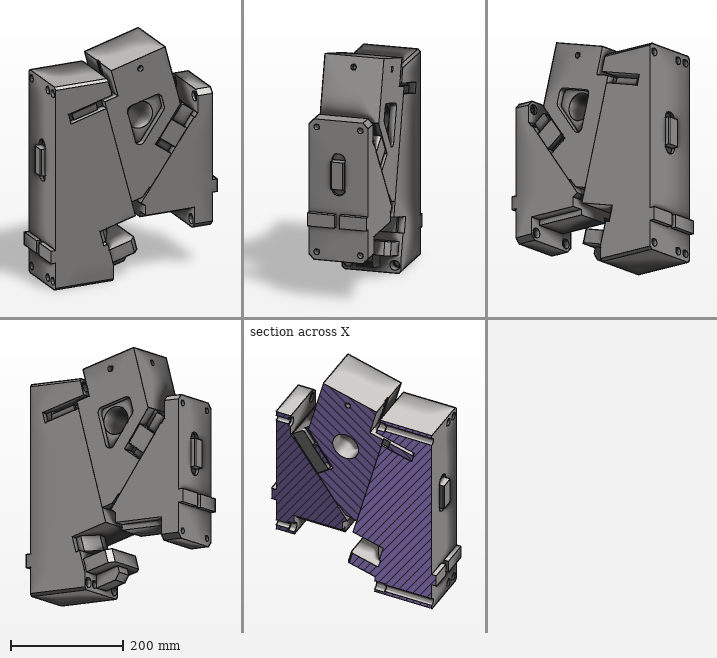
import cadquery as cq
import math

width = 110.0
half_width = width / 2
overall_height = 428.5
front_height = 384.5
rear_face_y = 310.0
rear_bottom_z = 73.5
rear_top_z = 334.5

rail_height = 24.0
rail_depth = 9.0
rail_gap = 10.0
key_width = 25.0
key_height = 50.5
key_chamfer = 2.0
key_slot_length = 78.0
key_slot_depth = 6.5
counterbore_radius = 9.0
screw_edge_distance = 14.5

front_chamfer = 4.5
front_screw_columns = (-43.3, 43.3)
front_extra_hole_x = 23.0
front_screw_hole_radius = 7.0
front_foot_depth = 114.5
front_rail_z = 52.5
front_key_center_z = 229.5
front_counterbore_y = 94.3

slide_angle = math.radians(15)
slide_corner = (157.5, 117.5)
slot_bottom = 220.0
slot_top = 240.0
slot_depth = 72.5
overhang = 16.5
foot_step_depth = 64.3
notch_height = 29.5
spine_front = 42.5
spine_flare = 62.0
spine_base_half = 42.5
spine_tip_half = 8.0

hook_half = 49.0
hook_neck_half = 16.0
hook_top = -45.0
hook_neck_top = -70.3
hook_bottom = -93.5
hook_tip_depth = 8.0
hook_tip_chamfer = 9.5
hook_root_depth = 77.0
hook_neck_corner = (-82.5, 17.5)
hook_neck_corner_end = 29.0

middle_bottom = 28.3
middle_back = -137.0
middle_toe = -22.3
middle_top = (
    (overall_height - slide_corner[1] + middle_back * math.sin(slide_angle)) / math.cos(slide_angle)
)
middle_front = -27.0
tongue_top = 233.5
tongue_neck_half = 39.5
tongue_neck_depth = 13.3
tongue_head_half = 45.5
groove_width = 10.0
groove_depth = 1.5
pin_hole_radius = 5.0
pin_hole_tip = 3.0
pin_hole_depth = 13.0
pin_hole_rise = 265.5
pin_hole_depth_position = -81.5
window_radius = 25.3
window_rise = 175.2
window_depth_position = -61.5
recess_depth = 12.0
recess_top = 204.8
recess_back = -106.2
recess_front = window_depth_position + window_radius
recess_lift = 62.0
recess_fillet = 10.0

ramp_angle = math.radians(35.5)
ramp_corner = (168.5, 139.0)
ramp_length = 190.0
toe_gap_run = 32.5
toe_gap = 2.5
rear_chamfer = 9.5
rear_top_plate_y = 280.5
rear_foot_plate_y = 274.0
rear_nose_y = 178.0
rear_nose_top_z = 132.5
rear_belly_z = 115.0
rear_keel_z = 104.5
keel_half = 32.0
rear_rail_z = 137.5
rear_key_center_z = 234.8
rear_counterbore_y = 285.7
rear_screw_columns = (-40.5, 40.5)
rear_screw_hole_radius = 5.0
ramp_step_run = 181.0
ramp_step = 1.5

rail_channel_start = 104.0
rail_channel_lift = 39.0
rail_shoulder_lift = 27.0
rail_shoulder_radius = 4.0
rail_head_half = 40.5
rail_neck_half = 32.0
clip_start = 117.5
clip_end = 157.2
clip_outer = 54.5
clip_inner = 43.3
clip_lift = 37.5
clip_root = -4.3


def slide_point(rise, depth):
    """(Y, Z) of a point given in the slide frame."""
    sine, cosine = math.sin(slide_angle), math.cos(slide_angle)
    return (
        slide_corner[0] - rise * sine - depth * cosine,
        slide_corner[1] + rise * cosine - depth * sine,
    )


def ramp_point(run, lift):
    """(Y, Z) of a point given in the ramp frame."""
    sine, cosine = math.sin(ramp_angle), math.cos(ramp_angle)
    return (
        ramp_corner[0] + run * sine - lift * cosine,
        ramp_corner[1] + run * cosine + lift * sine,
    )


def on_ramp(depth, lift):
    """(Y, Z) where a line of constant slide depth crosses a line of constant ramp lift."""
    start_y, start_z = slide_point(0, depth)
    y_offset = start_y - ramp_corner[0]
    z_offset = start_z - ramp_corner[1]
    lift_at_start = z_offset * math.sin(ramp_angle) - y_offset * math.cos(ramp_angle)
    rise = (lift - lift_at_start) / math.sin(slide_angle + ramp_angle)
    return slide_point(rise, depth)


def on_slide(depth, run):
    """(Y, Z) where a line of constant slide depth crosses a line of constant ramp run."""
    start_y, start_z = slide_point(0, depth)
    y_offset = start_y - ramp_corner[0]
    z_offset = start_z - ramp_corner[1]
    run_at_start = y_offset * math.sin(ramp_angle) + z_offset * math.cos(ramp_angle)
    rise = (run - run_at_start) / math.cos(slide_angle + ramp_angle)
    return slide_point(rise, depth)


def slab(points, half_thickness):
    """Side outline in (Y, Z), extruded to both sides of X = 0."""
    return cq.Workplane("YZ").polyline(points).close().extrude(half_thickness, both=True)


def slide_prism(points, bottom, top):
    """Outline in (X, depth), extruded along the slide face from bottom to top."""
    normal = (0, -math.sin(slide_angle), math.cos(slide_angle))
    plane = cq.Plane(origin=(0, *slide_point(bottom, 0)), xDir=(1, 0, 0), normal=normal)
    outline = [(x, -depth) for x, depth in points]
    return cq.Workplane(plane).polyline(outline).close().extrude(top - bottom)


def ramp_prism(points, start, end):
    """Outline in (X, lift), extruded along the ramp from start to end."""
    normal = (0, math.sin(ramp_angle), math.cos(ramp_angle))
    plane = cq.Plane(origin=(0, *ramp_point(start, 0)), xDir=(1, 0, 0), normal=normal)
    outline = [(x, -lift) for x, lift in points]
    return cq.Workplane(plane).polyline(outline).close().extrude(end - start)


def box(x_range, y_range, z_range):
    size = [high - low for low, high in (x_range, y_range, z_range)]
    return cq.Workplane("XY").box(*size, centered=False).translate((x_range[0], y_range[0], z_range[0]))


def both_sides(shape):
    """The shape together with its mirror image across X = 0."""
    return shape.union(shape.mirror("YZ"))


def y_cylinder(x, z, radius, y_start, y_end):
    plane = cq.Plane(origin=(x, y_start, z), xDir=(1, 0, 0), normal=(0, 1, 0))
    return cq.Workplane(plane).circle(radius).extrude(y_end - y_start)


def add_mount(block, face_y, outward, rail_z, key_z):
    """Split rail and a key standing in a round-ended recess, on a face looking along outward * Y."""
    outer_y = face_y + outward * rail_depth
    recess_y = face_y - outward * key_slot_depth

    key_range = sorted((recess_y, outer_y))
    recess_plane = cq.Plane(origin=(0, face_y, key_z), xDir=(1, 0, 0), normal=(0, -outward, 0))
    recess = cq.Workplane(recess_plane).slot2D(key_slot_length, key_width, 90).extrude(key_slot_depth)
    key_z_range = (key_z - key_height / 2, key_z + key_height / 2)
    key = box((-key_width / 2, key_width / 2), key_range, key_z_range)
    key = key.faces(">Y" if outward > 0 else "<Y").edges("|Z").chamfer(key_chamfer)

    rail = box((rail_gap / 2, half_width), sorted((face_y, outer_y)), (rail_z, rail_z + rail_height))
    return block.cut(recess).union(key).union(both_sides(rail))


def drill_screws(block, columns, rows, radius, hole_range, counterbore_range):
    """Counterbored holes along Y at every crossing of the columns (X) and rows (Z)."""
    for z in rows:
        for x in columns:
            block = block.cut(y_cylinder(x, z, radius, *hole_range))
            block = block.cut(y_cylinder(x, z, counterbore_radius, *counterbore_range))
    return block


def spine_relief(bottom, top):
    """Space beside the tapered central spine, open to both X sides."""
    return both_sides(slide_prism(
        [
            (half_width, spine_front),
            (spine_tip_half, spine_front),
            (spine_base_half, spine_flare),
            (spine_base_half, slot_depth),
            (half_width, slot_depth),
        ],
        bottom,
        top,
    ))


def make_hook():
    shoulder = hook_half - hook_tip_chamfer
    tip_root = hook_tip_depth + hook_tip_chamfer
    head = slide_prism(
        [
            (-hook_half, hook_root_depth),
            (-hook_half, tip_root),
            (-shoulder, hook_tip_depth),
            (shoulder, hook_tip_depth),
            (hook_half, tip_root),
            (hook_half, hook_root_depth),
        ],
        hook_neck_top,
        hook_top,
    )
    neck = slab(
        [
            slide_point(hook_neck_top, hook_root_depth),
            slide_point(hook_neck_top, tip_root),
            slide_point(*hook_neck_corner),
            slide_point(hook_bottom, hook_neck_corner_end),
            slide_point(hook_bottom, hook_root_depth),
        ],
        hook_neck_half,
    )
    return head.union(neck)


def make_front_block():
    sine, cosine = math.sin(slide_angle), math.cos(slide_angle)
    foot_drop = (front_foot_depth - slide_point(0, foot_step_depth)[0]) / sine
    foot_top = slide_point(-foot_drop, foot_step_depth)
    overhang_rise = (front_height - slide_point(0, -overhang)[1]) / cosine
    block = slab(
        [
            (0, 0),
            (front_foot_depth, 0),
            foot_top,
            slide_point(-notch_height, foot_step_depth),
            slide_point(-notch_height, spine_front),
            slide_point(0, spine_front),
            slide_corner,
            slide_point(slot_bottom, 0),
            slide_point(slot_bottom, spine_front),
            slide_point(slot_top, spine_front),
            slide_point(slot_top, -overhang),
            slide_point(overhang_rise, -overhang),
            (0, front_height),
        ],
        half_width,
    )
    block = block.faces("<Z or >Z").edges("|Y").chamfer(front_chamfer)
    block = block.cut(spine_relief(slot_bottom, slot_top)).cut(spine_relief(-notch_height, 0))
    block = block.union(make_hook())
    block = add_mount(block, 0, -1, front_rail_z, front_key_center_z)
    rows = (screw_edge_distance, front_height - screw_edge_distance)
    far_y = front_foot_depth + overhang
    for z in rows:
        block = block.cut(y_cylinder(front_extra_hole_x, z, front_screw_hole_radius, 0, far_y))
    return drill_screws(
        block, front_screw_columns, rows, front_screw_hole_radius, (0, far_y), (front_counterbore_y, far_y)
    )


def make_tongue():
    """T-shaped tongue that fills the lower part of the slot and straddles the spine."""
    half = [
        (spine_tip_half, spine_front),
        (spine_base_half, spine_flare),
        (tongue_head_half, spine_flare),
        (tongue_head_half, tongue_neck_depth),
        (tongue_neck_half, tongue_neck_depth),
        (tongue_neck_half, 0),
    ]
    mirrored = [(-x, depth) for x, depth in reversed(half)]
    return slide_prism(half + mirrored, slot_bottom, tongue_top)


def make_rail_channels():
    """Channels along both sides that leave a T-shaped rail on the ramp side."""
    return both_sides(ramp_prism(
        [
            (half_width, 0),
            (rail_head_half, 0),
            (rail_head_half, rail_shoulder_lift),
            (rail_neck_half, rail_shoulder_lift),
            (rail_neck_half, rail_channel_lift),
            (half_width, rail_channel_lift),
        ],
        rail_channel_start,
        ramp_length,
    ))


def make_side_recess():
    """Rounded recess around the window, sunk equally into both sides."""
    outline = [
        slide_point(recess_top, recess_back),
        slide_point(recess_top, recess_front),
        on_ramp(recess_front, recess_lift),
        on_ramp(recess_back, recess_lift),
    ]
    recess = slab(outline, half_width).edges("|X").fillet(recess_fillet)
    core = slab(outline, half_width - recess_depth)
    return recess.cut(core)


def pin_hole(origin, direction):
    """Blind hole with a conical end, entering at origin along direction."""
    start = cq.Vector(*origin)
    along = cq.Vector(*direction)
    barrel = cq.Solid.makeCylinder(pin_hole_radius, pin_hole_depth, start, along)
    tip = cq.Solid.makeCone(pin_hole_radius, 0, pin_hole_tip, start + along * pin_hole_depth, along)
    return cq.Workplane(barrel.fuse(tip))


def drill_pin_holes(block):
    side_center = slide_point(pin_hole_rise, pin_hole_depth_position)
    side_hole = pin_hole((half_width, *side_center), (-1, 0, 0))
    inward = (0, -math.cos(slide_angle), -math.sin(slide_angle))
    back_hole = pin_hole((0, *slide_point(pin_hole_rise, middle_back)), inward)
    return block.cut(both_sides(side_hole)).cut(back_hole)


def round_rail_shoulders(block):
    """Round the upper end of the rail shoulders, one on each side."""
    shoulder_x = (rail_head_half + rail_neck_half) / 2
    shoulder_end = ramp_point(ramp_length, rail_shoulder_lift)
    for x in (-shoulder_x, shoulder_x):
        end_edge = cq.selectors.NearestToPointSelector((x, *shoulder_end))
        block = block.edges(end_edge).fillet(rail_shoulder_radius)
    return block


def make_middle_block():
    block = slab(
        [
            slide_point(middle_top, middle_back),
            slide_point(middle_top, middle_front),
            slide_point(tongue_top, middle_front),
            slide_point(tongue_top, 0),
            slide_point(middle_bottom, 0),
            slide_point(middle_bottom, middle_toe),
            ramp_point(toe_gap_run, toe_gap),
            ramp_point(toe_gap_run, 0),
            ramp_point(ramp_length, 0),
            on_slide(middle_back, ramp_length),
        ],
        half_width,
    )
    half_groove = groove_width / 2
    groove_bottom = middle_front - groove_depth
    groove = slide_prism(
        [
            (-half_groove, groove_bottom),
            (half_groove, groove_bottom),
            (half_groove, middle_front),
            (-half_groove, middle_front),
        ],
        tongue_top,
        middle_top,
    )
    window_center = slide_point(window_rise, window_depth_position)
    window = cq.Workplane("YZ").center(*window_center).circle(window_radius).extrude(half_width, both=True)
    block = block.union(make_tongue()).cut(groove).cut(window)
    block = block.cut(make_side_recess()).cut(make_rail_channels())
    block = round_rail_shoulders(block)
    return drill_pin_holes(block)


def make_clips():
    """Hooked clips that reach around the T-shaped rail."""
    return both_sides(ramp_prism(
        [
            (clip_outer, clip_root),
            (clip_inner, clip_root),
            (clip_inner, rail_shoulder_lift),
            (rail_neck_half, rail_shoulder_lift),
            (rail_neck_half, clip_lift),
            (clip_outer, clip_lift),
        ],
        clip_start,
        clip_end,
    ))


def make_rear_block():
    block = slab(
        [
            (rear_face_y, rear_bottom_z),
            (rear_face_y, rear_top_z),
            (rear_top_plate_y, rear_top_z),
            (rear_top_plate_y, ramp_point(ramp_length, -ramp_step)[1]),
            ramp_point(ramp_length, -ramp_step),
            ramp_point(ramp_step_run, -ramp_step),
            ramp_point(ramp_step_run, 0),
            ramp_corner,
            (rear_nose_y, rear_nose_top_z),
            (rear_nose_y, rear_belly_z),
            (rear_foot_plate_y, rear_belly_z),
            (rear_foot_plate_y, rear_bottom_z),
        ],
        half_width,
    )
    block = block.faces("<Z or >Z").edges("|Y").chamfer(rear_chamfer)
    keel = box((-keel_half, keel_half), (rear_nose_y, rear_foot_plate_y), (rear_keel_z, rear_belly_z))
    block = block.union(keel).union(make_clips())
    block = add_mount(block, rear_face_y, 1, rear_rail_z, rear_key_center_z)
    rows = (rear_bottom_z + screw_edge_distance, rear_top_z - screw_edge_distance)
    plate_y = min(rear_top_plate_y, rear_foot_plate_y)
    return drill_screws(
        block,
        rear_screw_columns,
        rows,
        rear_screw_hole_radius,
        (plate_y, rear_face_y),
        (plate_y, rear_counterbore_y),
    )


front_block = make_front_block()
middle_block = make_middle_block()
rear_block = make_rear_block()

result = cq.Compound.makeCompound([
    front_block.solids().val(),
    middle_block.solids().val(),
    rear_block.solids().val(),
])